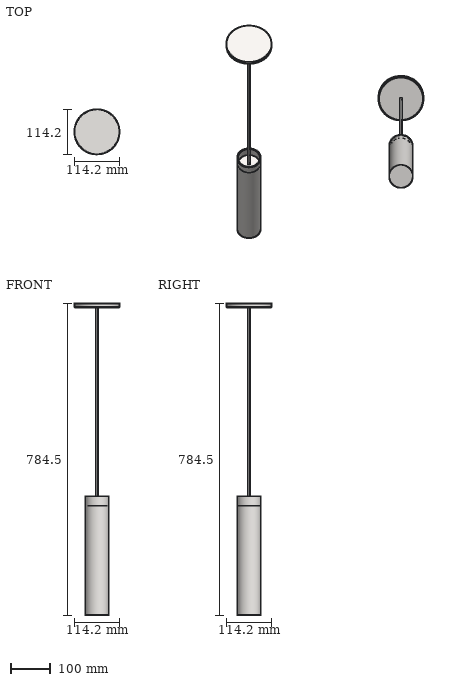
import cadquery as cq

total_height = 784.52

canopy_diameter = 114.18
canopy_thickness = 10.5
canopy_bevel = 2.0

cord_diameter = 6.35

housing_diameter = 60.0
housing_height = 300.0
housing_wall = 2.5
recess_depth = 25.0

recess_floor = housing_height - recess_depth
canopy_underside = total_height - canopy_thickness


def make_housing():
    """Upright cylinder with a round recess in its top end."""
    body = cq.Workplane("XY").circle(housing_diameter / 2).extrude(housing_height)
    recess = (
        cq.Workplane("XY")
        .workplane(offset=recess_floor)
        .circle(housing_diameter / 2 - housing_wall)
        .extrude(recess_depth)
    )
    return body.cut(recess)


def make_suspension():
    """Canopy disc and the cord that hangs from it down to the recess floor."""
    canopy = (
        cq.Workplane("XY")
        .workplane(offset=canopy_underside)
        .circle(canopy_diameter / 2)
        .extrude(canopy_thickness)
        .faces("<Z")
        .chamfer(canopy_bevel)
    )
    cord = (
        cq.Workplane("XY")
        .workplane(offset=recess_floor)
        .circle(cord_diameter / 2)
        .extrude(canopy_underside - recess_floor)
    )
    return canopy.union(cord)


housing = make_housing()
suspension = make_suspension()

result = cq.Compound.makeCompound([housing.val(), suspension.val()])